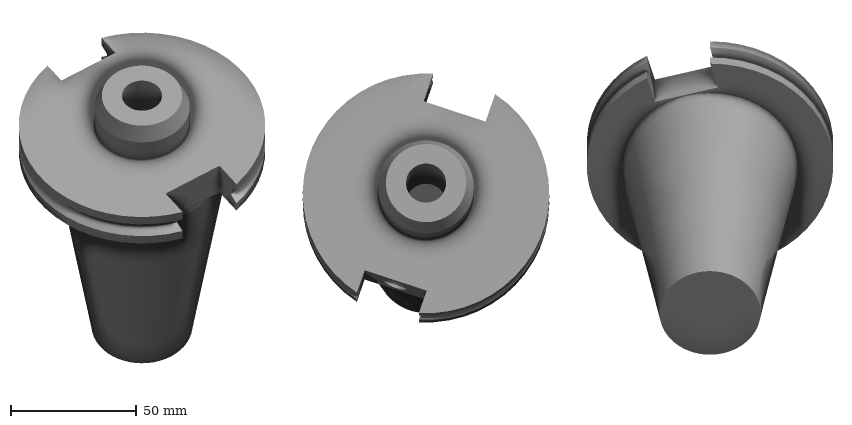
import cadquery as cq
import math

total_height = 138.2

shank_diameter = 69.9
taper_length = 101.5
taper_ratio = 7 / 24
shank_collar_height = 3.2

flange_diameter = 98.4
flange_thickness = 15.9
groove_diameter = 91.2
groove_mouth_width = 7.0
groove_root_width = 3.7

slot_width = 26.1
left_floor_to_axis = 37.7
right_floor_to_axis = 35.5

nose_diameter = 38.1
nose_tip_diameter = 32.0
nose_bevel_height = 6.6
nose_root_fillet = 0.7

nose_bore_diameter = 16.0
nose_bore_depth = 34.5
slot_hole_diameter = 9.7
slot_hole_depth = 5.0

shank_tip_radius = (shank_diameter - taper_length * taper_ratio) / 2
shank_radius = shank_diameter / 2
flange_radius = flange_diameter / 2
nose_radius = nose_diameter / 2
flange_bottom = taper_length + shank_collar_height
flange_top = flange_bottom + flange_thickness
flange_middle = (flange_bottom + flange_top) / 2


def turned_body():
    """Shank, flange and nose as one half-profile (radius, height) revolved about Z."""
    groove_root_radius = groove_diameter / 2
    fillet_reach = nose_root_fillet * (1 - math.sqrt(0.5))
    profile = (
        cq.Workplane("XZ")
        .moveTo(0, 0)
        .lineTo(shank_tip_radius, 0)
        .lineTo(shank_radius, taper_length)
        .lineTo(shank_radius, flange_bottom)
        .lineTo(flange_radius, flange_bottom)
        .lineTo(flange_radius, flange_middle - groove_mouth_width / 2)
        .lineTo(groove_root_radius, flange_middle - groove_root_width / 2)
        .lineTo(groove_root_radius, flange_middle + groove_root_width / 2)
        .lineTo(flange_radius, flange_middle + groove_mouth_width / 2)
        .lineTo(flange_radius, flange_top)
        .lineTo(nose_radius + nose_root_fillet, flange_top)
        .threePointArc(
            (nose_radius + fillet_reach, flange_top + fillet_reach),
            (nose_radius, flange_top + nose_root_fillet),
        )
        .lineTo(nose_radius, total_height - nose_bevel_height)
        .lineTo(nose_tip_diameter / 2, total_height)
        .lineTo(0, total_height)
        .close()
    )
    return profile.revolve(360, (0, 0, 0), (0, 1, 0))


def drive_slot(side, floor_to_axis):
    """Rectangular cutter through the flange on the +X (side = 1) or -X (side = -1) side."""
    slot_depth = flange_radius - floor_to_axis
    slot_middle = side * (floor_to_axis + slot_depth / 2)
    return cq.Workplane("XY", origin=(slot_middle, 0, flange_middle)).box(
        slot_depth, slot_width, flange_thickness
    )


def slot_hole():
    """Radial blind hole drilled inward from the middle of the -X slot floor."""
    return (
        cq.Workplane("YZ", origin=(-left_floor_to_axis, 0, flange_middle))
        .circle(slot_hole_diameter / 2)
        .extrude(slot_hole_depth)
    )


def nose_bore():
    """Blind bore drilled down from the nose face."""
    return (
        cq.Workplane("XY", origin=(0, 0, total_height - nose_bore_depth))
        .circle(nose_bore_diameter / 2)
        .extrude(nose_bore_depth)
    )


result = (
    turned_body()
    .cut(nose_bore())
    .cut(drive_slot(-1, left_floor_to_axis))
    .cut(drive_slot(1, right_floor_to_axis))
    .cut(slot_hole())
)